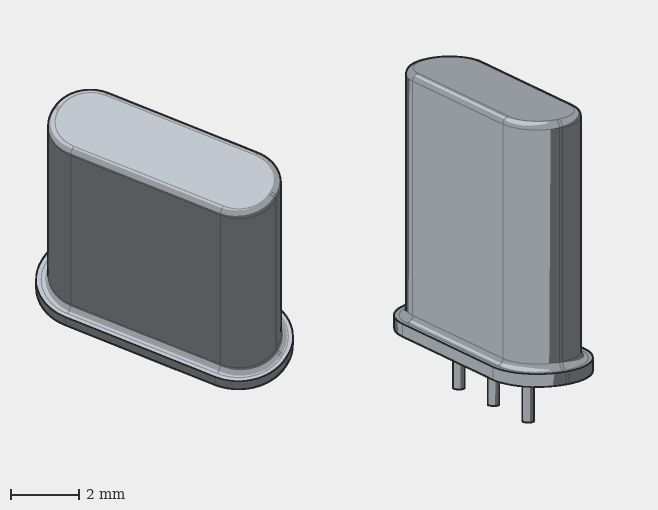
import cadquery as cq

total_height = 9.7
flange_length = 8.0
flange_width = 3.2
flange_thickness = 0.4

end_flat = 0.1

can_inset = 0.35
can_length = flange_length - 2 * can_inset
can_width = flange_width - 2 * can_inset
edge_radius = 0.2

lead_diameter = 0.35
lead_length = 1.7
lead_pitch = 1.88
lead_count = 3

flange_bottom = lead_length
flange_top = flange_bottom + flange_thickness


def rounded_block(length, width, bottom, top):
    """Upright block whose ends are almost full rounds, with a short flat."""
    corner_radius = (width - end_flat) / 2
    return (
        cq.Workplane("XY", origin=(0, 0, bottom))
        .rect(length, width)
        .extrude(top - bottom)
        .edges("|Z")
        .fillet(corner_radius)
    )


def make_housing():
    """Can with a rounded top, blended into its base flange."""
    flange = rounded_block(flange_length, flange_width, flange_bottom, flange_top)
    can = rounded_block(can_length, can_width, flange_top, total_height)
    can = can.faces(">Z").edges().fillet(edge_radius)

    body = flange.union(can)
    ring_face = body.faces(cq.NearestToPointSelector((0, 0, flange_top))).val()
    joint_outline = ring_face.innerWires()[0]
    return body.newObject(joint_outline.Edges()).fillet(edge_radius)


def make_lead(x):
    """Round lead standing below the flange, ending at its underside."""
    return cq.Workplane("XY").center(x, 0).circle(lead_diameter / 2).extrude(lead_length)


housing = make_housing()

leads = []
for index in range(lead_count):
    lead_x = (index - (lead_count - 1) / 2) * lead_pitch
    leads.append(make_lead(lead_x).val())

result = cq.Compound.makeCompound([housing.val(), *leads])